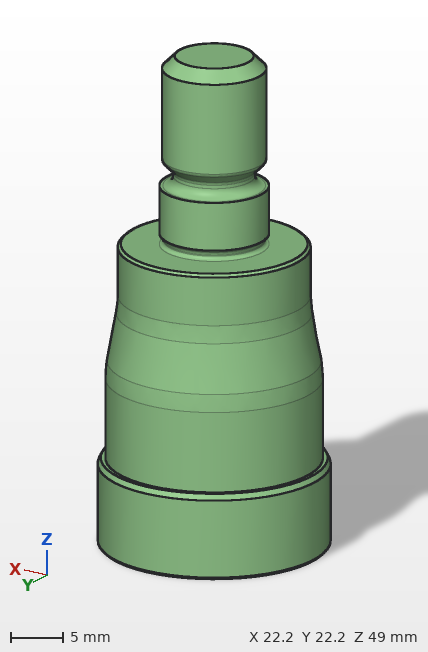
import cadquery as cq

total_height = 49.0
base_height = 8.58
shoulder_bottom = 17.5
shoulder_top = 24.05
head_top = 30.1
collar_bottom = 31.15
collar_top = 35.95
stud_tip_bottom = 38.55

base_radius = 11.1
body_radius = 10.4
head_radius = 9.2
collar_radius = 5.25
stud_radius = 5.0
neck_radius = 3.9

base_top_chamfer_height = 0.6
base_top_chamfer_width = 0.3
base_bottom_chamfer = 0.25
head_chamfer = 0.3
tip_chamfer = 1.22
shoulder_blend = 10.0
neck_fillet = 1.0
groove_blend = 0.5
root_fillet = 0.4

edge_tolerance = 0.005


def blend_ring(solid, radius, height, fillet_radius):
    """Fillet the circular edge of the given radius at the given height."""
    reach = radius + edge_tolerance
    ring = cq.selectors.BoxSelector(
        (-reach, -reach, height - edge_tolerance),
        (reach, reach, height + edge_tolerance),
        boundingbox=True,
    )
    return solid.edges(ring).fillet(fillet_radius)


def make_base():
    """Round base on which the body stands."""
    profile = (
        cq.Workplane("XZ")
        .lineTo(base_radius - base_bottom_chamfer, 0)
        .lineTo(base_radius, base_bottom_chamfer)
        .lineTo(base_radius, base_height - base_top_chamfer_height)
        .lineTo(base_radius - base_top_chamfer_width, base_height)
        .lineTo(0, base_height)
        .close()
    )
    return profile.revolve(360, (0, 0, 0), (0, 1, 0))


def make_body():
    """Turned body with a tapered shoulder, collar and grooved stud."""
    root_radius = collar_radius - root_fillet
    undercut_top = collar_bottom - root_fillet
    groove_top = stud_tip_bottom - (stud_radius - neck_radius)

    profile = (
        cq.Workplane("XZ")
        .moveTo(0, base_height)
        .lineTo(body_radius, base_height)
        .lineTo(body_radius, shoulder_bottom)
        .lineTo(head_radius, shoulder_top)
        .lineTo(head_radius, head_top - head_chamfer)
        .lineTo(head_radius - head_chamfer, head_top)
        .lineTo(collar_radius, head_top)
        .radiusArc((root_radius, head_top + root_fillet), root_fillet)
        .lineTo(root_radius, undercut_top)
        .lineTo(collar_radius, collar_bottom)
        .lineTo(collar_radius, collar_top)
        .lineTo(neck_radius + neck_fillet, collar_top)
        .radiusArc((neck_radius, collar_top + neck_fillet), neck_fillet)
        .lineTo(neck_radius, groove_top)
        .lineTo(stud_radius, stud_tip_bottom)
        .lineTo(stud_radius, total_height - tip_chamfer)
        .lineTo(stud_radius - tip_chamfer, total_height)
        .lineTo(0, total_height)
        .close()
    )
    body = profile.revolve(360, (0, 0, 0), (0, 1, 0))

    body = blend_ring(body, body_radius, shoulder_bottom, shoulder_blend)
    body = blend_ring(body, head_radius, shoulder_top, shoulder_blend)
    body = blend_ring(body, root_radius, undercut_top, groove_blend)
    body = blend_ring(body, neck_radius, groove_top, groove_blend)
    return blend_ring(body, stud_radius, stud_tip_bottom, groove_blend)


base = make_base()
body = make_body()

result = cq.Compound.makeCompound([base.val(), body.val()])